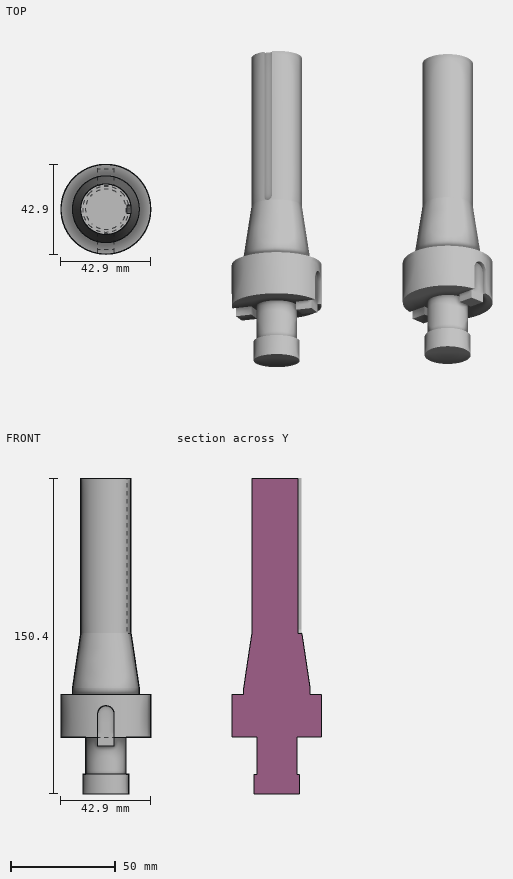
import cadquery as cq

total_height = 150.4
head_radius = 11.0
head_top = 9.5
neck_radius = 9.6
collar_diameter = 42.9
collar_radius = collar_diameter / 2
collar_bottom = 27.0
collar_top = 47.5
base_radius = 16.0
base_top = 50.5
shank_radius = 12.0
shank_bottom = 76.5

key_width = 7.8
key_depth = 7.8
key_outer_face = 19.3
key_inner_face = key_outer_face - key_depth
key_bottom = 23.0
key_top = 42.1

keyway_width = 4.0
keyway_floor = 10.1
keyway_length = total_height - shank_bottom


def turned_body():
    """Revolve the stepped half-profile, with a cone between base and shank."""
    profile = [
        (0, 0),
        (head_radius, 0),
        (head_radius, head_top),
        (neck_radius, head_top),
        (neck_radius, collar_bottom),
        (collar_radius, collar_bottom),
        (collar_radius, collar_top),
        (base_radius, collar_top),
        (base_radius, base_top),
        (shank_radius, shank_bottom),
        (shank_radius, total_height),
        (0, total_height),
    ]
    return cq.Workplane("XZ").polyline(profile).close().revolve(360, (0, 0), (0, 1))


def round_ended_bar(width, flat_end, round_end, depth):
    """Bar along Z with a half-round end, extruded towards -Y from Y = 0."""
    half_width = width / 2
    arc_direction = 1 if round_end > flat_end else -1
    arc_start = round_end - arc_direction * half_width
    return (
        cq.Workplane("XZ")
        .moveTo(-half_width, flat_end)
        .lineTo(-half_width, arc_start)
        .threePointArc((0, round_end), (half_width, arc_start))
        .lineTo(half_width, flat_end)
        .close()
        .extrude(depth)
    )


def add_drive_keys(body):
    slot_depth = collar_radius - key_outer_face
    slot = round_ended_bar(key_width, collar_bottom, key_top, slot_depth).translate((0, -key_outer_face, 0))
    key = round_ended_bar(key_width, key_bottom, key_top, key_depth).translate((0, -key_inner_face, 0))
    for angle in (0, 180):
        body = body.cut(slot.rotate((0, 0, 0), (0, 0, 1), angle))
        body = body.union(key.rotate((0, 0, 0), (0, 0, 1), angle))
    return body


def cut_keyway(body):
    keyway_depth = shank_radius - keyway_floor
    keyway = round_ended_bar(keyway_width, total_height, total_height - keyway_length, keyway_depth)
    keyway = keyway.translate((0, -keyway_floor, 0)).rotate((0, 0, 0), (0, 0, 1), 90)
    return body.cut(keyway)


result = cut_keyway(add_drive_keys(turned_body()))